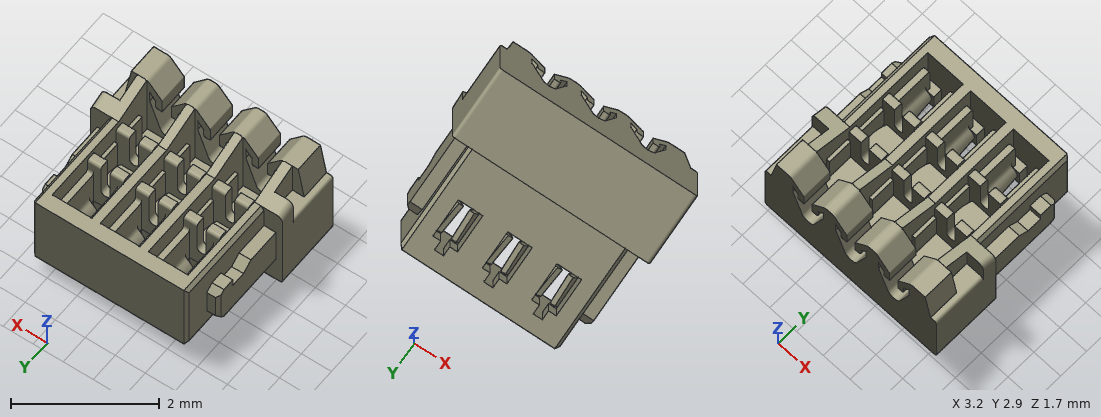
import cadquery as cq
import math


WAY_COUNT = 3
PITCH = 0.8
WAY_CENTERS = [(i - (WAY_COUNT - 1) / 2) * PITCH for i in range(WAY_COUNT)]

BLOCK_WIDTH = 3.2
BLOCK_LENGTH = 1.15
HOUSING_HEIGHT = 1.7
EDGE_RADIUS = 0.05
SHOULDER_RADIUS = 0.1

PLUG_WIDTH = 2.58
HOUSING_LENGTH = 2.9
PLUG_BOTTOM = 0.245
PLUG_TOP = 1.46
PLUG_CHAMFER = 0.05
PLUG_CHAMFER_HEIGHT = 0.065

COMB_DEPTH = 0.505
COMB_TOP_WIDTH = 2.778
SHOULDER_WIDTH = 2.975
SHOULDER_NOTCH_LENGTH = 0.905
SHOULDER_Z = 1.155
TOOTH_RADIUS = 0.102
MOUTH_HALF_WIDTH = 0.323
THROAT_HALF_WIDTH = 0.077
THROAT_TOP = 1.42
HOOK_TIP_RADIUS = 0.025
HOOK_BOTTOM = 1.185
HOOK_OUTER_HALF_WIDTH = 0.185
HOOK_UNDERCUT_Z = 1.335
HOOK_CORNER_RADIUS = 0.04
POCKET_HALF_WIDTH = 0.285
POCKET_PEAK = 1.453
POCKET_SHOULDER = 1.26
POCKET_BOTTOM = 0.695
POCKET_RADIUS = 0.115

CAVITY_WIDTH = 0.66
CAVITY_BACK = 2.655
FLOOR_Z = 0.595
LEDGE_GAP = 0.545
LEDGE_TOP = 1.12
LEDGE_START = 0.698
WINDOW_BACK = 2.505
PIN_SLOT_WIDTH = 0.147

LATCH_WIDTH = SHOULDER_WIDTH
LATCH_BACK = 2.448
LATCH_BOTTOM = 0.455
LATCH_TOP = 1.055
LATCH_LEAD_LENGTH = 0.12
LATCH_LEAD_HEIGHT = 0.095
LATCH_CORNER = 0.055
LATCH_NOTCH_BACK = 2.128
LATCH_NOTCH_FRONT = 1.885
LATCH_NOTCH_Z = 0.93
LATCH_RAMP_END = 1.715

BLADE_WIDTH = 0.6
BLADE_THICKNESS = 0.147
FRONT_BLADE_TOP = 1.418
FRONT_BLADE_START = 1.105
FRONT_BLADE_END = FRONT_BLADE_START + BLADE_THICKNESS
REAR_BLADE_TOP = 1.443
REAR_BLADE_START = 1.75
REAR_BLADE_END = REAR_BLADE_START + BLADE_THICKNESS
BLADE_EDGE_RADIUS = 0.05
WIRE_SLOT_WIDTH = 0.15
WIRE_SLOT_BOTTOM = 0.85
BASE_THICKNESS = 0.1
BASE_END_HALF_WIDTH = 0.22
BASE_BULGE_HALF_WIDTH = 0.27
RAIL_END = 2.563
RAIL_TOP = 1.195
RAIL_GAP = 0.397
RAIL_END_RADIUS = 0.06
RAIL_ROOT_RADIUS = 0.05

LEAF_START = 1.995
LEAF_END = 2.477
LEAF_ROOT_Z = 0.768
LEAF_BEND_X = 0.16
LEAF_BEND_SLOPE = math.radians(40)
LEAF_TIP_SLOPE = math.radians(75)
LEAF_FRONT_TIP_X = 0.048
LEAF_BACK_TIP_X = 0.077
LEAF_THICKNESS = 0.08

MARGIN = 0.032


def box(x_center, width, y_start, y_end, z_start, z_end):
    """Box centred on x_center, between the given Y and Z limits."""
    return (
        cq.Workplane("XY", origin=(x_center, y_start, z_start))
        .box(width, y_end - y_start, z_end - z_start, centered=(True, False, False))
    )


def front_sketch(y=0.0):
    """Workplane with local X = X and local Y = Z, extruding toward +Y for negative distances."""
    return cq.Workplane("XZ", origin=(0, y, 0))


def side_sketch(x):
    """Workplane with local X = Y and local Y = Z, extruding toward +X."""
    return cq.Workplane("YZ", origin=(x, 0, 0))


def slope_top(y):
    """Height of the sloping roof between the comb and the plug."""
    rise = (HOUSING_HEIGHT - PLUG_TOP) / (BLOCK_LENGTH - COMB_DEPTH)
    return PLUG_TOP + (BLOCK_LENGTH - y) * rise


def wire_block():
    """Wide block with a sloping roof, rounded long edges and a notch over each shoulder."""
    block = (
        side_sketch(-BLOCK_WIDTH / 2)
        .polyline(
            [
                (SHOULDER_NOTCH_LENGTH, 0),
                (BLOCK_LENGTH, 0),
                (BLOCK_LENGTH, PLUG_TOP),
                (SHOULDER_NOTCH_LENGTH, slope_top(SHOULDER_NOTCH_LENGTH)),
            ]
        )
        .close()
        .extrude(BLOCK_WIDTH)
    )
    side_roof_edges = cq.selectors.BoxSelector(
        (-BLOCK_WIDTH, 0, PLUG_TOP - MARGIN), (BLOCK_WIDTH, BLOCK_LENGTH, HOUSING_HEIGHT)
    )
    block = block.edges(side_roof_edges).edges("not |X").fillet(SHOULDER_RADIUS)
    base = box(0, BLOCK_WIDTH, 0, SHOULDER_NOTCH_LENGTH, 0, SHOULDER_Z)
    base = base.edges("|Y and >Z").fillet(EDGE_RADIUS)
    block = block.union(base)
    return block.edges("|Y and <Z").fillet(EDGE_RADIUS)


def roof_core():
    """Plug-wide core that carries the sloping roof over the shoulders to the comb."""
    return (
        side_sketch(-PLUG_WIDTH / 2)
        .polyline(
            [
                (COMB_DEPTH, SHOULDER_Z - MARGIN),
                (BLOCK_LENGTH, SHOULDER_Z - MARGIN),
                (BLOCK_LENGTH, PLUG_TOP),
                (COMB_DEPTH, HOUSING_HEIGHT),
            ]
        )
        .close()
        .extrude(PLUG_WIDTH)
    )


def comb():
    """Wall with tapered ends that the wire entries are cut into."""
    return (
        front_sketch()
        .polyline(
            [
                (-SHOULDER_WIDTH / 2, SHOULDER_Z),
                (SHOULDER_WIDTH / 2, SHOULDER_Z),
                (COMB_TOP_WIDTH / 2, HOUSING_HEIGHT),
                (-COMB_TOP_WIDTH / 2, HOUSING_HEIGHT),
            ]
        )
        .close()
        .extrude(-COMB_DEPTH)
    )


def plug():
    """Mating plug with bevelled long edges and rear corners."""
    envelope = box(0, PLUG_WIDTH, COMB_DEPTH, HOUSING_LENGTH, PLUG_BOTTOM, PLUG_TOP)
    half = PLUG_WIDTH / 2
    flat = half - PLUG_CHAMFER
    low = PLUG_BOTTOM + PLUG_CHAMFER_HEIGHT
    high = PLUG_TOP - PLUG_CHAMFER_HEIGHT
    bevelled = (
        front_sketch(COMB_DEPTH)
        .polyline(
            [
                (-flat, PLUG_BOTTOM),
                (flat, PLUG_BOTTOM),
                (half, low),
                (half, high),
                (flat, PLUG_TOP),
                (-flat, PLUG_TOP),
                (-half, high),
                (-half, low),
            ]
        )
        .close()
        .extrude(COMB_DEPTH - HOUSING_LENGTH)
    )
    return bevelled.intersect(envelope.edges("|Z and >Y").chamfer(PLUG_CHAMFER))


def latches():
    """Notched ribs along both sides of the plug, built as one bar right through it."""
    bar = (
        side_sketch(-LATCH_WIDTH / 2)
        .polyline(
            [
                (COMB_DEPTH, LATCH_BOTTOM),
                (LATCH_BACK - LATCH_LEAD_LENGTH, LATCH_BOTTOM),
                (LATCH_BACK, LATCH_BOTTOM + LATCH_LEAD_HEIGHT),
                (LATCH_BACK, LATCH_TOP - LATCH_LEAD_HEIGHT),
                (LATCH_BACK - LATCH_LEAD_LENGTH, LATCH_TOP),
                (LATCH_NOTCH_BACK, LATCH_TOP),
                (LATCH_NOTCH_BACK, LATCH_NOTCH_Z),
                (LATCH_NOTCH_FRONT, LATCH_NOTCH_Z),
                (LATCH_RAMP_END, LATCH_TOP),
                (COMB_DEPTH, LATCH_TOP),
            ]
        )
        .close()
        .extrude(LATCH_WIDTH)
    )
    envelope = box(0, LATCH_WIDTH, COMB_DEPTH, LATCH_BACK, LATCH_BOTTOM, LATCH_TOP)
    return bar.intersect(envelope.edges("|Z and >Y").chamfer(LATCH_CORNER))


def wire_mouth(x_center):
    """V-shaped lead-in between two comb teeth, rounded at the tooth crests."""
    slope_angle = math.atan2(HOUSING_HEIGHT - THROAT_TOP, MOUTH_HALF_WIDTH - THROAT_HALF_WIDTH)
    crest_tangent = TOOTH_RADIUS * math.tan(slope_angle / 2)
    tip_angle = math.pi / 2 - slope_angle
    tip_tangent = HOOK_TIP_RADIUS * math.tan(tip_angle / 2)

    crest_x = MOUTH_HALF_WIDTH + crest_tangent
    crest_mid = (
        crest_x - TOOTH_RADIUS * math.sin(slope_angle / 2),
        HOUSING_HEIGHT - TOOTH_RADIUS * (1 - math.cos(slope_angle / 2)),
    )
    crest_end = (
        MOUTH_HALF_WIDTH - crest_tangent * math.cos(slope_angle),
        HOUSING_HEIGHT - crest_tangent * math.sin(slope_angle),
    )
    tip_start = (
        THROAT_HALF_WIDTH + tip_tangent * math.cos(slope_angle),
        THROAT_TOP + tip_tangent * math.sin(slope_angle),
    )
    tip_mid = (
        THROAT_HALF_WIDTH + HOOK_TIP_RADIUS * (1 - math.cos(tip_angle / 2)),
        THROAT_TOP - tip_tangent + HOOK_TIP_RADIUS * math.sin(tip_angle / 2),
    )
    tip_end = (THROAT_HALF_WIDTH, THROAT_TOP - tip_tangent)

    half_mouth = (
        front_sketch()
        .moveTo(0, HOOK_BOTTOM - MARGIN)
        .lineTo(THROAT_HALF_WIDTH, HOOK_BOTTOM - MARGIN)
        .lineTo(*tip_end)
        .threePointArc(tip_mid, tip_start)
        .lineTo(*crest_end)
        .threePointArc(crest_mid, (crest_x, HOUSING_HEIGHT))
        .lineTo(0, HOUSING_HEIGHT)
        .close()
        .extrude(-BLOCK_LENGTH)
    )
    return half_mouth.union(half_mouth.mirror("YZ")).translate((x_center, 0, 0))


def wire_pocket(x_center):
    """Tapered pocket under the hooks that end the comb teeth."""
    arc_z = POCKET_BOTTOM + POCKET_RADIUS
    rise = POCKET_SHOULDER - arc_z
    reach = math.hypot(POCKET_HALF_WIDTH, rise)
    tangent_angle = math.acos(POCKET_RADIUS / reach) - math.atan2(rise, POCKET_HALF_WIDTH)
    tangent_x = POCKET_RADIUS * math.cos(tangent_angle)
    tangent_z = arc_z - POCKET_RADIUS * math.sin(tangent_angle)
    outline = [
        (tangent_x, tangent_z),
        (POCKET_HALF_WIDTH, POCKET_SHOULDER),
        (POCKET_HALF_WIDTH, POCKET_PEAK),
        (HOOK_OUTER_HALF_WIDTH, HOOK_UNDERCUT_Z),
        (HOOK_OUTER_HALF_WIDTH, HOOK_BOTTOM),
    ]
    left_outline = [(-x, z) for x, z in reversed(outline)]
    pocket = (
        front_sketch()
        .polyline(outline + left_outline)
        .threePointArc((0, POCKET_BOTTOM), (tangent_x, tangent_z))
        .close()
        .extrude(-COMB_DEPTH)
    )
    hook_corners = cq.selectors.BoxSelector(
        (-POCKET_HALF_WIDTH, -MARGIN, HOOK_BOTTOM - MARGIN),
        (POCKET_HALF_WIDTH, COMB_DEPTH + MARGIN, HOOK_BOTTOM + MARGIN),
    )
    return pocket.edges(hook_corners).edges("|Y").fillet(HOOK_CORNER_RADIUS).translate((x_center, 0, 0))


def cavity(x_center):
    """Open-topped terminal cavity with side ledges, a floor window and a pin slot."""
    pocket = box(x_center, CAVITY_WIDTH, COMB_DEPTH, CAVITY_BACK, FLOOR_Z, HOUSING_HEIGHT)
    ledge_width = (CAVITY_WIDTH - LEDGE_GAP) / 2
    ledge_offset = (CAVITY_WIDTH - ledge_width) / 2
    ledge_spans = [(LEDGE_START, FRONT_BLADE_START), (FRONT_BLADE_END, REAR_BLADE_START)]
    for side in (-1, 1):
        for start, end in ledge_spans:
            ledge = box(x_center + side * ledge_offset, ledge_width, start, end, FLOOR_Z, LEDGE_TOP)
            pocket = pocket.cut(ledge)
    window = box(x_center, RAIL_GAP, REAR_BLADE_END, WINDOW_BACK, 0, FLOOR_Z)
    pin_slot = box(x_center, PIN_SLOT_WIDTH, REAR_BLADE_END, CAVITY_BACK, 0, FLOOR_Z)
    return pocket.union(window).union(pin_slot)


def make_housing():
    body = wire_block().union(roof_core()).union(comb()).union(plug()).union(latches())
    for x_center in WAY_CENTERS:
        body = body.cut(wire_mouth(x_center)).cut(wire_pocket(x_center)).cut(cavity(x_center))
    return body


def blade(y_start, top):
    """Upright blade with a round-bottomed wire slot and a rounded rear top edge."""
    y_end = y_start + BLADE_THICKNESS
    plate = box(0, BLADE_WIDTH, y_start, y_end, FLOOR_Z, top)
    plate = plate.edges(">Y and >Z").fillet(BLADE_EDGE_RADIUS)
    slot_radius = WIRE_SLOT_WIDTH / 2
    arc_z = WIRE_SLOT_BOTTOM + slot_radius
    slot = (
        front_sketch(y_start)
        .moveTo(-slot_radius, top)
        .lineTo(-slot_radius, arc_z)
        .threePointArc((0, WIRE_SLOT_BOTTOM), (slot_radius, arc_z))
        .lineTo(slot_radius, top)
        .close()
        .extrude(-BLADE_THICKNESS)
    )
    return plate.cut(slot)


def base_plate():
    """Floor plate between the blades, with outward-bowed sides."""
    start = FRONT_BLADE_END
    end = REAR_BLADE_START
    middle = (start + end) / 2
    return (
        cq.Workplane("XY", origin=(0, 0, FLOOR_Z))
        .moveTo(-BASE_END_HALF_WIDTH, start)
        .lineTo(BASE_END_HALF_WIDTH, start)
        .threePointArc((BASE_BULGE_HALF_WIDTH, middle), (BASE_END_HALF_WIDTH, end))
        .lineTo(-BASE_END_HALF_WIDTH, end)
        .threePointArc((-BASE_BULGE_HALF_WIDTH, middle), (-BASE_END_HALF_WIDTH, start))
        .close()
        .extrude(BASE_THICKNESS)
    )


def right_rail():
    """Side rail behind the rear blade, rounded at its end and blended into the blade."""
    diagonal = math.sqrt(0.5)
    root_y = REAR_BLADE_END + RAIL_ROOT_RADIUS
    root_z = RAIL_TOP + RAIL_ROOT_RADIUS
    end_y = RAIL_END - RAIL_END_RADIUS
    end_z = RAIL_TOP - RAIL_END_RADIUS
    return (
        side_sketch(RAIL_GAP / 2)
        .moveTo(REAR_BLADE_END, FLOOR_Z)
        .lineTo(REAR_BLADE_END, root_z)
        .threePointArc(
            (root_y - RAIL_ROOT_RADIUS * diagonal, root_z - RAIL_ROOT_RADIUS * diagonal), (root_y, RAIL_TOP)
        )
        .lineTo(end_y, RAIL_TOP)
        .threePointArc(
            (end_y + RAIL_END_RADIUS * diagonal, end_z + RAIL_END_RADIUS * diagonal), (RAIL_END, end_z)
        )
        .lineTo(RAIL_END, FLOOR_Z)
        .close()
        .extrude((BLADE_WIDTH - RAIL_GAP) / 2)
    )


def leaf_outline(sketch, tip_x):
    """Cross-section of a leaf that curves off the rail, then steepens again toward its tip."""
    root_x = RAIL_GAP / 2
    bend_angle = math.pi / 2 - LEAF_BEND_SLOPE
    root_radius = (root_x - LEAF_BEND_X) / (1 - math.cos(bend_angle))
    root_mid = (
        root_x - root_radius * (1 - math.cos(bend_angle / 2)),
        LEAF_ROOT_Z - root_radius * math.sin(bend_angle / 2),
    )
    bend_z = LEAF_ROOT_Z - root_radius * math.sin(bend_angle)

    tip_radius = (LEAF_BEND_X - tip_x) / (math.sin(LEAF_TIP_SLOPE) - math.sin(LEAF_BEND_SLOPE))
    middle_slope = (LEAF_BEND_SLOPE + LEAF_TIP_SLOPE) / 2
    arc_x = LEAF_BEND_X + tip_radius * math.sin(LEAF_BEND_SLOPE)
    arc_z = bend_z - tip_radius * math.cos(LEAF_BEND_SLOPE)
    tip_mid = (arc_x - tip_radius * math.sin(middle_slope), arc_z + tip_radius * math.cos(middle_slope))
    tip_z = arc_z + tip_radius * math.cos(LEAF_TIP_SLOPE)
    tip_underside = (
        tip_x + LEAF_THICKNESS * math.sin(LEAF_TIP_SLOPE),
        tip_z - LEAF_THICKNESS * math.cos(LEAF_TIP_SLOPE),
    )
    return (
        sketch.moveTo(root_x, LEAF_ROOT_Z)
        .threePointArc(root_mid, (LEAF_BEND_X, bend_z))
        .threePointArc(tip_mid, (tip_x, tip_z))
        .lineTo(*tip_underside)
        .lineTo(root_x, FLOOR_Z)
        .close()
    )


def right_leaf():
    """Contact leaf whose tip closes toward the centre line at its front end."""
    back = leaf_outline(front_sketch(LEAF_END), LEAF_BACK_TIP_X)
    front = leaf_outline(back.workplane(offset=LEAF_END - LEAF_START), LEAF_FRONT_TIP_X)
    return front.loft(ruled=True)


def make_terminal(x_center):
    body = blade(FRONT_BLADE_START, FRONT_BLADE_TOP).union(blade(REAR_BLADE_START, REAR_BLADE_TOP))
    body = body.union(base_plate())
    right_side = right_rail().union(right_leaf())
    body = body.union(right_side).union(right_side.mirror("YZ"))
    return body.translate((x_center, 0, 0))


housing = make_housing()
terminals = [make_terminal(x_center) for x_center in WAY_CENTERS]
result = cq.Compound.makeCompound([housing.val(), *[terminal.val() for terminal in terminals]])